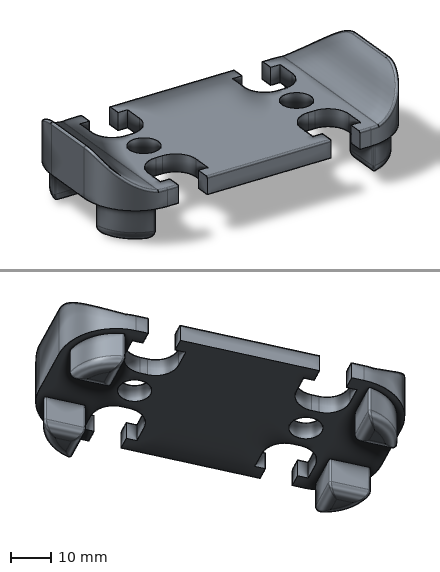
import cadquery as cq
import math

length = 90.0
width = 45.0
plate_thickness = 5.0
corner_radius = width / 3
edge_fillet = 0.5

crease_inset = 12.5
crease_y = length / 2 - crease_inset
scoop_axis_inset = 16.0
scoop_radius = 16.65

station_y = length / 4
hole_diameter = 8.5
web_width = 14.0
pocket_length = 14.0
pocket_radius = 6.0
mouth_length = 8.5
tab_width = 4.05

foot_height = 10.0
foot_corner_offset = 2.0
foot_margin = 1.9
foot_bottom_fillet = 2.9
foot_corner_fillet = 0.5


def rounded_block(height):
    """Block with the outline of the part, standing on Z = 0."""
    return cq.Workplane("XY").rect(width, length).extrude(height).edges("|Z").fillet(corner_radius)


def middle_slab():
    """Everything between the two creases, as a slab taller than the part."""
    return cq.Workplane("XY").box(width, 2 * crease_y, length)


def flat_plate():
    """Plate between the creases, with softened upper side edges."""
    plate = rounded_block(plate_thickness).edges(">Z").fillet(edge_fillet)
    return plate.intersect(middle_slab())


def end_walls():
    """Both end walls beyond the creases, with a softened rim."""
    axis_y = length / 2 - scoop_axis_inset
    axis_z = plate_thickness + math.sqrt(scoop_radius**2 - (crease_y - axis_y) ** 2)
    floor_z = axis_z - scoop_radius
    rim_y = axis_y + scoop_radius
    hollow = (
        cq.Workplane("YZ")
        .moveTo(-axis_y, floor_z)
        .lineTo(axis_y, floor_z)
        .radiusArc((rim_y, axis_z), -scoop_radius)
        .lineTo(-rim_y, axis_z)
        .radiusArc((-axis_y, floor_z), -scoop_radius)
        .close()
        .extrude(width, both=True)
    )
    walls = rounded_block(axis_z).cut(hollow)
    return walls.edges("not (|Z or <Z)").fillet(edge_fillet).cut(middle_slab())


def side_opening():
    """Round-backed pocket with a narrower mouth through the +X side, centred on Y = 0."""
    pocket_depth = width / 2 - tab_width - web_width / 2
    pocket = (
        cq.Workplane("XY")
        .center(web_width / 2 + pocket_depth / 2, 0)
        .rect(pocket_depth, pocket_length)
        .extrude(plate_thickness)
        .edges("|Z and <X")
        .fillet(pocket_radius)
    )
    mouth_depth = tab_width + pocket_depth / 2
    mouth = (
        cq.Workplane("XY")
        .center(width / 2 - mouth_depth / 2, 0)
        .rect(mouth_depth, mouth_length)
        .extrude(plate_thickness)
    )
    return pocket.union(mouth)


def foot():
    """Foot under the +X, +Y corner, rounded at the bottom and on its upright edges."""
    arc_radius = corner_radius - foot_margin
    arc_end = math.sqrt(arc_radius**2 - foot_corner_offset**2)
    return (
        cq.Workplane("XY")
        .center(width / 2 - corner_radius, length / 2 - corner_radius)
        .moveTo(foot_corner_offset, foot_corner_offset)
        .lineTo(arc_end, foot_corner_offset)
        .radiusArc((foot_corner_offset, arc_end), -arc_radius)
        .close()
        .extrude(-foot_height)
        .edges("<Z")
        .fillet(foot_bottom_fillet)
        .edges("|Z")
        .fillet(foot_corner_fillet)
    )


def at_both_sides(shape):
    """The shape together with its mirror image across the middle of the width."""
    return shape.union(shape.mirror("YZ"))


result = flat_plate().union(end_walls())

openings = at_both_sides(side_opening()).union(
    cq.Workplane("XY").circle(hole_diameter / 2).extrude(plate_thickness)
)
for y in (-station_y, station_y):
    result = result.cut(openings.translate((0, y, 0)))

feet = at_both_sides(foot())
result = result.union(feet).union(feet.mirror("XZ"))